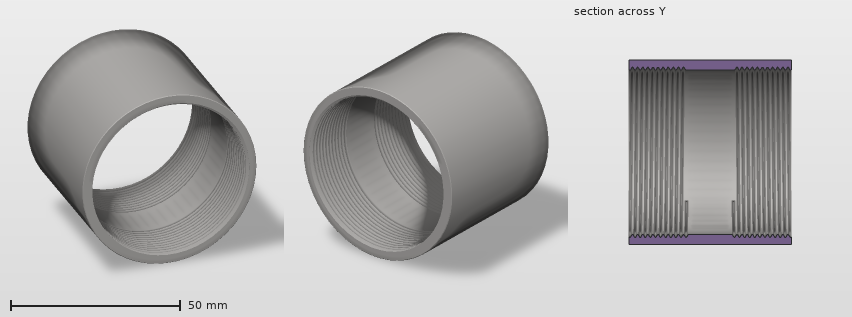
import cadquery as cq
import math

length = 48.0
outer_radius = 27.25
edge_chamfer = 0.2

thread_nominal_diameter = 50.0
pitch = 1.5
thread_turns = 11.4
flank_half_angle = math.radians(30)

root_radius = thread_nominal_diameter / 2
root_flat = pitch / 8
triangle_height = pitch / 2 / math.tan(flank_half_angle)
thread_depth = 5 / 8 * triangle_height
bore_radius = root_radius - thread_depth

bore_overlap = 0.05
lead_in = pitch


def sleeve_body():
    """Plain tube centred on the X axis, from x = 0 to x = length, with chamfered outer edges."""
    outside = cq.Workplane("YZ").circle(outer_radius).extrude(length).faces("|X").edges().chamfer(edge_chamfer)
    bore = cq.Workplane("YZ").circle(bore_radius).extrude(length)
    return outside.cut(bore)


def thread_cutter():
    """Helical left-hand groove at the x = 0 end, with its root at +Y on the end face."""
    inner_radius = bore_radius - bore_overlap
    root_half_width = root_flat / 2
    mouth_half_width = root_half_width + (root_radius - inner_radius) * math.tan(flank_half_angle)
    helix = cq.Wire.makeHelix(pitch, lead_in + thread_turns * pitch, inner_radius, lefthand=True)
    profile = [
        (inner_radius, -mouth_half_width),
        (root_radius, -root_half_width),
        (root_radius, root_half_width),
        (inner_radius, mouth_half_width),
    ]
    groove = cq.Workplane("XZ").polyline(profile).close().sweep(cq.Workplane(obj=helix), isFrenet=True)
    along_x = groove.rotate((0, 0, 0), (0, 1, 0), 90).rotate((0, 0, 0), (1, 0, 0), 90)
    return along_x.translate((-lead_in, 0, 0))


near_thread = thread_cutter()
middle = length / 2
far_thread = near_thread.mirror("YZ", (middle, 0, 0))

result = sleeve_body().cut(near_thread).cut(far_thread)